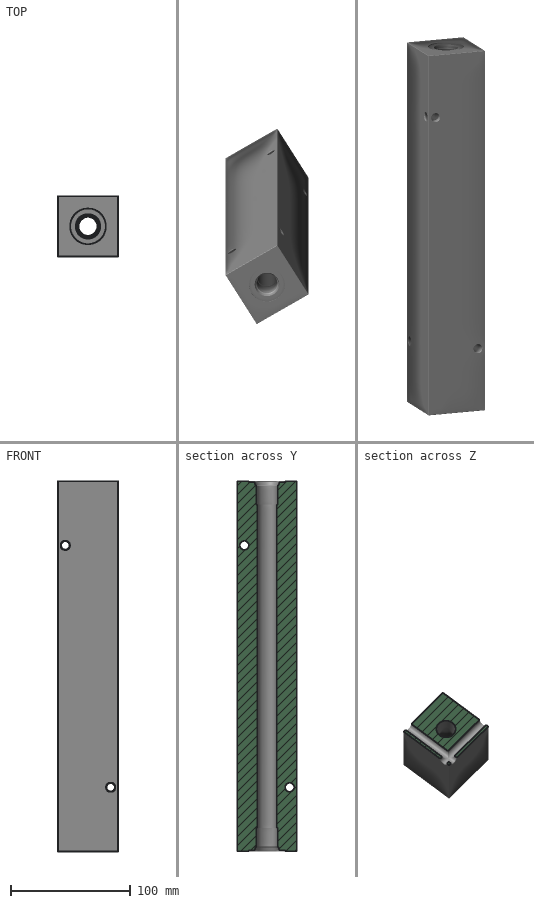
import cadquery as cq

width = 50.8
length = 311.15
half_width = width / 2
half_length = length / 2
edge_break = 0.25

cross_hole_diameter = 7.14
cross_hole_chamfer = 0.38
cross_hole_inset = 6.35
cross_hole_spacing = 203.2
hole_offset = half_width - cross_hole_inset
hole_height = cross_hole_spacing / 2

bore_diameter = 15.875
spotface_diameter = 30.0
spotface_depth = 0.8
mouth_diameter = 20.65
mouth_depth = 2.54
seat_diameter = 19.05
port_diameter = 17.4
port_depth = 19.05


def make_block():
    block = cq.Workplane("XY").box(width, width, length)
    return block.edges().chamfer(edge_break)


def make_cross_hole_cutter():
    """One hole along Y through the middle of the block, chamfered at both faces."""
    radius = cross_hole_diameter / 2
    mouth_radius = radius + cross_hole_chamfer
    chamfer_start = half_width - cross_hole_chamfer
    profile = [
        (0, -half_width),
        (mouth_radius, -half_width),
        (radius, -chamfer_start),
        (radius, chamfer_start),
        (mouth_radius, half_width),
        (0, half_width),
    ]
    return cq.Workplane("XY").polyline(profile).close().revolve(360, (0, 0, 0), (0, 1, 0))


def cut_cross_holes(body):
    """Cut two holes along Y and two along X, diagonally opposite on each pair of faces."""
    for side in (-1, 1):
        along_y = make_cross_hole_cutter().translate((side * hole_offset, 0, -side * hole_height))
        along_x = along_y.rotate((0, 0, 0), (0, 0, 1), -90)
        body = body.cut(along_y).cut(along_x)
    return body


def make_port_cutter():
    """Spotface, conical seal mouth, 45 degree chamfer and straight port opening on the +Z end."""
    spotface_floor = half_length - spotface_depth
    mouth_bottom = spotface_floor - mouth_depth
    chamfer_bottom = mouth_bottom - (seat_diameter - port_diameter) / 2
    port_floor = spotface_floor - port_depth
    profile = [
        (0, half_length),
        (spotface_diameter / 2, half_length),
        (spotface_diameter / 2, spotface_floor),
        (mouth_diameter / 2, spotface_floor),
        (seat_diameter / 2, mouth_bottom),
        (port_diameter / 2, chamfer_bottom),
        (port_diameter / 2, port_floor),
        (0, port_floor),
    ]
    return cq.Workplane("XZ").polyline(profile).close().revolve(360, (0, 0, 0), (0, 1, 0))


def cut_bore_and_ports(body):
    bore = cq.Workplane("XY").circle(bore_diameter / 2).extrude(half_length, both=True)
    port = make_port_cutter()
    return body.cut(bore).cut(port).cut(port.mirror("XY"))


result = cut_bore_and_ports(cut_cross_holes(make_block()))